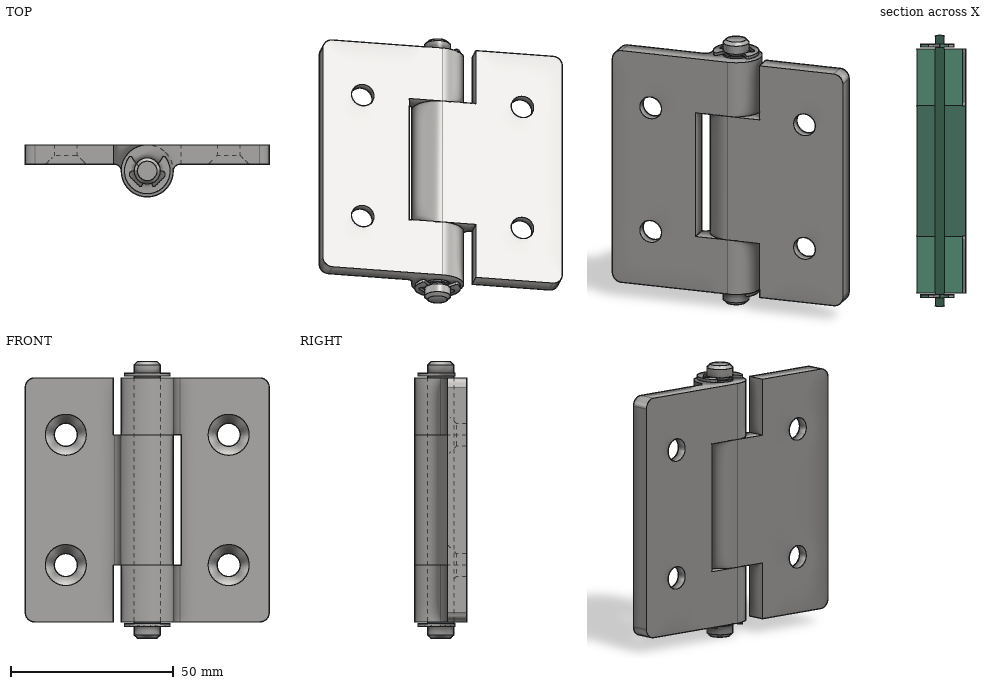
import cadquery as cq
import math


hinge_width = 75.0
leaf_height = 75.0
leaf_thickness = 6.0
leaf_corner_radius = 3.0
knuckle_radius = 8.0
root_fillet = 2.0
middle_knuckle_length = 40.0
notch_edge = 10.4

leaf_back = knuckle_radius
leaf_face = leaf_back - leaf_thickness
end_knuckle_length = (leaf_height - middle_knuckle_length) / 2

screw_spacing_x = 50.0
screw_spacing_z = 40.0
screw_hole_diameter = 7.0
countersink_diameter = 12.6
countersink_angle = 90.0

pin_diameter = 8.0
pin_length = 85.0
pin_chamfer = 1.0
groove_diameter = 6.0

clip_gap = 0.5
clip_thickness = 0.9
clip_radius = 7.0
clip_bottom = leaf_height / 2 + clip_gap
clip_tip_rounding = 0.5

mouth_root_x = 2.6
mouth_root = (mouth_root_x, math.sqrt((groove_diameter / 2)**2 - mouth_root_x**2))
mouth_bow = (3.9, 2.9)
mouth_tip_x = 5.05
mouth_tip = (mouth_tip_x, math.sqrt(clip_radius**2 - mouth_tip_x**2))

relief_wall_distance = 5.0
lower_prong_half_angle = math.radians(20)
relief_side_rounding = 1.1
relief_lower_rounding = 0.4


def knuckle_root_profile():
    """Knuckle disc joined to a leaf root on +X, with a fillet blending into the leaf face."""
    fillet_centre_y = leaf_face - root_fillet
    centre_distance = knuckle_radius + root_fillet
    fillet_centre_x = math.sqrt(centre_distance**2 - fillet_centre_y**2)
    centre_angle = math.atan2(fillet_centre_y, fillet_centre_x)
    contact = (knuckle_radius * math.cos(centre_angle), knuckle_radius * math.sin(centre_angle))
    middle_angle = (centre_angle + math.pi + math.pi / 2) / 2
    fillet_middle = (
        fillet_centre_x + root_fillet * math.cos(middle_angle),
        fillet_centre_y + root_fillet * math.sin(middle_angle),
    )
    return (
        cq.Workplane("XY")
        .moveTo(0, leaf_back)
        .threePointArc((-knuckle_radius, 0), contact)
        .threePointArc(fillet_middle, (fillet_centre_x, leaf_face))
        .lineTo(notch_edge, leaf_face)
        .lineTo(notch_edge, leaf_back)
        .close()
    )


def knuckle(bottom, length):
    return knuckle_root_profile().extrude(length).translate((0, 0, bottom))


def make_leaf(knuckle_spans):
    """Leaf on the +X side, with a bored knuckle for each (bottom, length) span."""
    plate_width = hinge_width / 2 - notch_edge
    leaf = (
        cq.Workplane("XY")
        .box(plate_width, leaf_thickness, leaf_height, centered=(False, False, True))
        .translate((notch_edge, leaf_face, 0))
        .edges("|Y and >X")
        .fillet(leaf_corner_radius)
    )
    screw_points = [(screw_spacing_x / 2, side * screw_spacing_z / 2) for side in (-1, 1)]
    leaf = (
        leaf.copyWorkplane(cq.Workplane("XZ", origin=(0, leaf_face, 0)))
        .pushPoints(screw_points)
        .cskHole(screw_hole_diameter, countersink_diameter, countersink_angle)
    )
    for bottom, length in knuckle_spans:
        leaf = leaf.union(knuckle(bottom, length))
    bore = cq.Workplane("XY").circle(pin_diameter / 2).extrude(leaf_height / 2, both=True)
    return leaf.cut(bore)


def make_end_knuckle_leaf():
    return make_leaf([
        (-leaf_height / 2, end_knuckle_length),
        (middle_knuckle_length / 2, end_knuckle_length),
    ])


def make_middle_knuckle_leaf():
    """Leaf on the -X side, with one knuckle between those of the other leaf."""
    return make_leaf([(-middle_knuckle_length / 2, middle_knuckle_length)]).mirror("YZ")


def make_pin():
    pin = (
        cq.Workplane("XY")
        .circle(pin_diameter / 2)
        .extrude(pin_length / 2, both=True)
        .faces("<Z or >Z")
        .chamfer(pin_chamfer)
    )
    groove = (
        cq.Workplane("XY", origin=(0, 0, clip_bottom))
        .circle(pin_diameter / 2)
        .circle(groove_diameter / 2)
        .extrude(clip_thickness)
    )
    return pin.cut(groove).cut(groove.mirror("XY"))


def clip_mouth():
    """Opening of the clip, cleared out to its rim."""
    def opposite(point):
        return (-point[0], point[1])

    return (
        cq.Workplane("XY")
        .moveTo(*opposite(mouth_root))
        .lineTo(*mouth_root)
        .threePointArc(mouth_bow, mouth_tip)
        .lineTo(mouth_tip[0], clip_radius)
        .lineTo(-mouth_tip[0], clip_radius)
        .lineTo(*opposite(mouth_tip))
        .threePointArc(opposite(mouth_bow), opposite(mouth_root))
        .close()
        .extrude(clip_thickness)
    )


def clip_relief():
    """Relief pocket on the +X side, between the lower prong and the side prong."""
    side_corner_distance = relief_wall_distance * math.sqrt(2)
    lower_corner_distance = relief_wall_distance / math.cos(math.pi / 4 - lower_prong_half_angle)
    lower_corner = (
        lower_corner_distance * math.sin(lower_prong_half_angle),
        -lower_corner_distance * math.cos(lower_prong_half_angle),
    )
    return (
        cq.Workplane("XY")
        .lineTo(side_corner_distance, 0)
        .lineTo(*lower_corner)
        .close()
        .extrude(clip_thickness)
        .edges("|Z and >X")
        .fillet(relief_side_rounding)
        .edges("|Z and <Y")
        .fillet(relief_lower_rounding)
    )


def make_clip():
    """Upper clip, seated in the groove of the pin."""
    relief = clip_relief()
    clip = (
        cq.Workplane("XY")
        .circle(clip_radius)
        .circle(groove_diameter / 2)
        .extrude(clip_thickness)
        .cut(clip_mouth())
        .edges("|Z and >Y")
        .fillet(clip_tip_rounding)
        .cut(relief)
        .cut(relief.mirror("YZ"))
    )
    return clip.translate((0, 0, clip_bottom))


end_knuckle_leaf = make_end_knuckle_leaf()
middle_knuckle_leaf = make_middle_knuckle_leaf()
pin = make_pin()
upper_clip = make_clip()
clips = [upper_clip, upper_clip.mirror("XY")]

result = cq.Compound.makeCompound([
    end_knuckle_leaf.val(),
    middle_knuckle_leaf.val(),
    pin.val(),
    *[clip.val() for clip in clips],
])